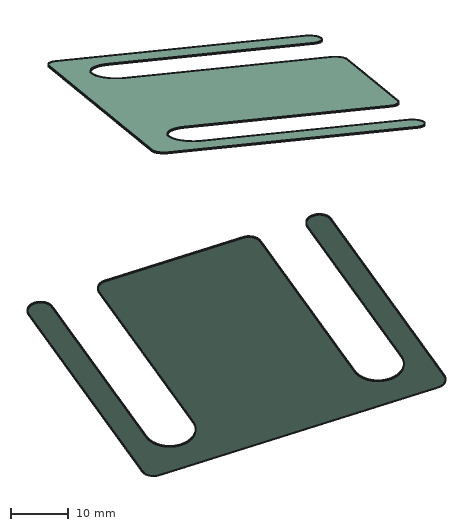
import cadquery as cq

width = 58.0
depth = 50.0
thickness = 0.25
corner_radius = 2.2

tongue_width = 31.0
slot_width = 9.0
slot_floor = 5.5
slot_radius = slot_width / 2
slot_center_x = (tongue_width + slot_width) / 2
slot_arc_y = -depth / 2 + slot_floor + slot_radius
slot_straight = depth / 2 - slot_arc_y


def open_slot(center_x):
    """Slot with a round inner end, open at the +Y edge."""
    straight = (
        cq.Workplane("XY")
        .center(center_x, slot_arc_y + slot_straight / 2)
        .rect(slot_width, slot_straight)
        .extrude(thickness)
    )
    round_end = cq.Workplane("XY").center(center_x, slot_arc_y).circle(slot_radius).extrude(thickness)
    return straight.union(round_end)


plate = cq.Workplane("XY").rect(width, depth).extrude(thickness)
for side in (-1, 1):
    plate = plate.cut(open_slot(side * slot_center_x))

back_corners = plate.faces(">Y").edges("|Z")
front_corners = plate.faces("<Y").edges("|Z")
result = plate.newObject(back_corners.vals() + front_corners.vals()).fillet(corner_radius)